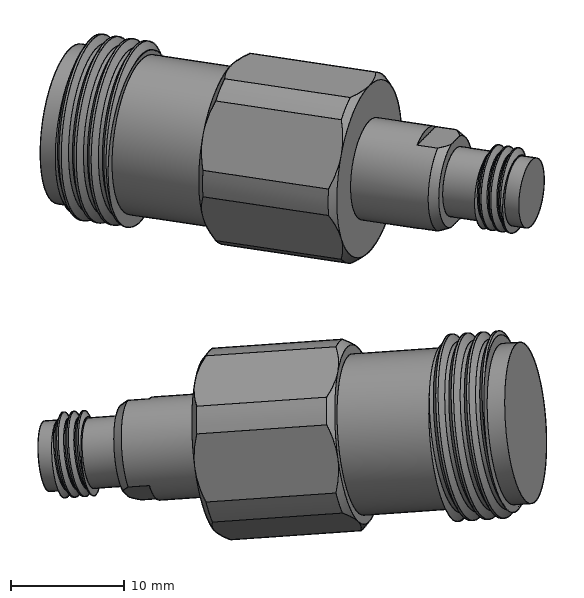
import cadquery as cq
import math

x_large_thread_start = 1.6
x_large_thread_end = 6.8
x_hex_start = 15.3
x_hex_end = 28.35
x_neck_end = 36.5
x_small_thread_start = 39.65
x_small_thread_end = 42.35
overall_length = 43.69

large_body_radius = 7.14
small_body_radius = 3.13
neck_radius = 4.57
neck_chamfer_depth = 0.47
neck_chamfer_angle = 30
neck_chamfer_length = neck_chamfer_depth / math.tan(math.radians(neck_chamfer_angle))

neck_flat_length = 2.75
neck_across_flats = 7.93

hex_sides = 6
hex_across_flats = 15.875
hex_corner_radius = 8.53
hex_chamfer = hex_corner_radius - hex_across_flats / 2

flank_half_angle = 30
large_pitch = 1.411
large_crest_radius = 8.27
large_root_radius = 7.56
large_crest_width = 0.22
large_crest_station = 1.99
small_pitch = 0.924
small_crest_radius = 3.79
small_root_radius = 3.21
small_crest_width = 0.14
small_crest_station = 40.09

ridge_sink = 0.08


def cylinder(x_start, x_end, radius):
    return cq.Workplane("YZ", origin=(x_start, 0, 0)).circle(radius).extrude(x_end - x_start)


def thread(x_start, x_end, pitch, crest_radius, root_radius, crest_width, crest_station):
    """Root cylinder with a right-hand helical ridge, cut square at both ends."""
    base_radius = root_radius - ridge_sink
    half_crest = crest_width / 2
    half_base = half_crest + (crest_radius - base_radius) * math.tan(math.radians(flank_half_angle))

    lead_in_turns = math.ceil((crest_station - x_start) / pitch) + 1
    ridge_start = crest_station - lead_in_turns * pitch
    turns = math.ceil((x_end - ridge_start) / pitch) + 1
    ridge_length = turns * pitch

    helix = cq.Wire.makeHelix(pitch, ridge_length, root_radius)
    ridge = (
        cq.Workplane("XZ")
        .polyline([
            (base_radius, -half_base),
            (crest_radius, -half_crest),
            (crest_radius, half_crest),
            (base_radius, half_base),
        ])
        .close()
        .sweep(cq.Workplane(helix), isFrenet=True)
        .rotate((0, 0, 0), (1, 0, 1), 180)
        .translate((ridge_start, 0, 0))
    )

    core = cylinder(ridge_start - pitch, ridge_start + ridge_length + pitch, root_radius)
    return core.union(ridge).intersect(cylinder(x_start, x_end, 2 * crest_radius))


def hexagon():
    """Hexagonal bar with flats on +Z and -Z, trimmed by a chamfered cylinder."""
    length = x_hex_end - x_hex_start
    corner_diameter = hex_across_flats / math.cos(math.pi / hex_sides)
    bar = cq.Workplane("YZ", origin=(x_hex_start, 0, 0)).polygon(hex_sides, corner_diameter).extrude(length)
    envelope = cylinder(x_hex_start, x_hex_end, hex_corner_radius).edges("%CIRCLE").chamfer(hex_chamfer)
    return bar.intersect(envelope)


def neck():
    """Round neck with a chamfered end and a flat on +Z and on -Z."""
    body = cylinder(x_hex_end, x_neck_end, neck_radius)
    body = body.faces(">X").chamfer(neck_chamfer_length, neck_chamfer_depth)
    flat_cut_height = neck_radius
    for side in (1, -1):
        cut = cq.Workplane("XY").box(neck_flat_length, 2 * neck_radius, flat_cut_height).translate(
            (x_neck_end - neck_flat_length / 2, 0, side * (neck_across_flats + flat_cut_height) / 2)
        )
        body = body.cut(cut)
    return body


large_thread = thread(
    x_large_thread_start, x_large_thread_end, large_pitch,
    large_crest_radius, large_root_radius, large_crest_width, large_crest_station,
)
small_thread = thread(
    x_small_thread_start, x_small_thread_end, small_pitch,
    small_crest_radius, small_root_radius, small_crest_width, small_crest_station,
)

result = (
    cylinder(0, x_hex_start, large_body_radius)
    .union(hexagon())
    .union(neck())
    .union(cylinder(x_neck_end, overall_length, small_body_radius))
    .union(large_thread)
    .union(small_thread)
)